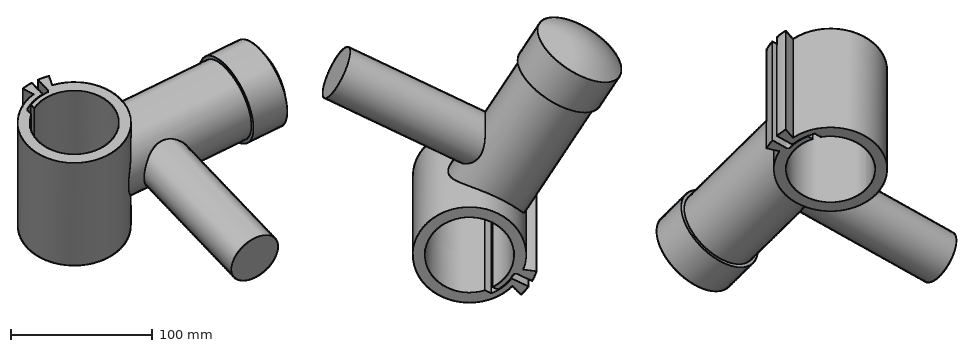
import cadquery as cq
import math

overall_x = 190.5
overall_y = 209.2

height = 104.0
sleeve_radius = 40.2
bore_radius = 31.5

lug_radius = 49.5
lug_root_x = -39.1
lug_root_y = 8.0
lug_tip_y = 11.3
slot_width = 5.2
slot_fillet = 1.9
lip_radius = 35.4
lip_clearance = 0.5
lip_end_y = -15.5
pocket_floor_y = -20.5

arm_radius = 31.4
cap_radius = 34.1
cap_start = 130.4
cap_edge = 159.5
cap_top = overall_y - sleeve_radius

side_arm_radius = 20.0
side_arm_y = 58.5
side_arm_end = overall_x - math.sqrt(lug_radius**2 - (slot_width / 2) ** 2)


def disc(radius):
    """Full-height cylinder about the sleeve axis."""
    return cq.Workplane("XY").circle(radius).extrude(height / 2, both=True)


def left_block(y_low, y_high):
    """Full-height block from the YZ plane out past the lugs on the -X side."""
    return (
        cq.Workplane("XY")
        .moveTo(0, y_low)
        .lineTo(0, y_high)
        .lineTo(-2 * lug_radius, y_high)
        .lineTo(-2 * lug_radius, y_low)
        .close()
        .extrude(height / 2, both=True)
    )


def lugs():
    """Flared pair of lugs as one block; the slot divides it."""
    tip_x = -math.sqrt(lug_radius**2 - lug_tip_y**2)
    return (
        cq.Workplane("XY")
        .moveTo(-bore_radius, lug_root_y)
        .lineTo(lug_root_x, lug_root_y)
        .lineTo(tip_x, lug_tip_y)
        .threePointArc((-lug_radius, 0), (tip_x, -lug_tip_y))
        .lineTo(lug_root_x, -lug_root_y)
        .lineTo(-bore_radius, -lug_root_y)
        .close()
        .extrude(height / 2, both=True)
        .cut(disc(bore_radius))
    )


def split_cutter():
    """Slot between the lugs, clearance behind the lip and pocket past its end."""
    half_slot = slot_width / 2
    strip_radius = lip_radius + lip_clearance
    corner_x = -math.sqrt(lip_radius**2 - half_slot**2)
    near_corner = cq.selectors.NearestToPointSelector((corner_x, half_slot, 0))
    slot = left_block(-half_slot, half_slot).cut(disc(lip_radius))
    slot = slot.edges("|Z").edges(near_corner).fillet(slot_fillet)
    clearance = disc(strip_radius).cut(disc(lip_radius)).intersect(left_block(pocket_floor_y, 0))
    pocket = disc(strip_radius).intersect(left_block(pocket_floor_y, lip_end_y))
    return slot.union(clearance).union(pocket)


def capped_arm():
    """Round arm with a larger domed cap, revolved about the Y axis."""
    dome_rise = cap_top - cap_edge
    dome_radius = (cap_radius**2 + dome_rise**2) / (2 * dome_rise)
    dome_centre = cap_top - dome_radius
    half_angle = math.asin(cap_radius / dome_radius) / 2
    dome_middle = (
        dome_radius * math.sin(half_angle),
        dome_centre + dome_radius * math.cos(half_angle),
    )
    return (
        cq.Workplane("XY")
        .lineTo(arm_radius, 0)
        .lineTo(arm_radius, cap_start)
        .lineTo(cap_radius, cap_start)
        .lineTo(cap_radius, cap_edge)
        .threePointArc(dome_middle, (0, cap_top))
        .close()
        .revolve(360, (0, 0, 0), (0, 1, 0))
    )


def side_arm():
    """Plain round arm leaving the axis of the capped arm."""
    return cq.Workplane("YZ").center(side_arm_y, 0).circle(side_arm_radius).extrude(side_arm_end)


mid_wall_radius = (sleeve_radius + bore_radius) / 2
arms = capped_arm().union(side_arm()).cut(disc(mid_wall_radius))
sleeve = disc(sleeve_radius).union(lugs()).cut(disc(bore_radius)).cut(split_cutter())
result = sleeve.union(arms)